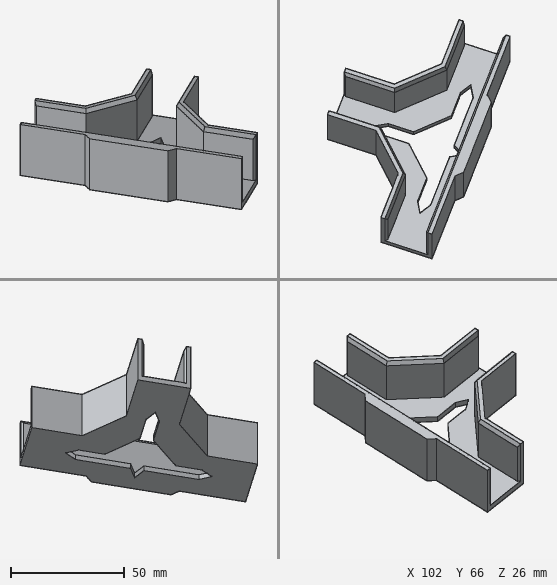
import cadquery as cq
import math

length = 102.0
depth = 66.0
height = 26.0
arm_width = 24.0
floor_thickness = 3.0
wall_thickness = 3.0

corner_reach = 28.3

bevel_width = 1.0
top_bevel_height = 2.0
end_bevel_length = 1.0

slot_width = 6.0
slot_side_reach = 27.8
slot_web_reach = 16.0
slot_tip_angle = 60.0

pad_flat_length = 36.0

arm_reach = length / 2
arm_half = arm_width / 2
slot_half = slot_width / 2
pad_thickness = depth - arm_reach - arm_half
wall_height = height - floor_thickness


def mirrored_outline(right_side):
    """Close a half outline, given from bottom to top, by mirroring it in X."""
    left_side = [(-x, y) for x, y in reversed(right_side) if x != 0]
    return right_side + left_side


def tee_outline(inset):
    """Tee with diagonal corners; its long sides move inward by inset, its ends stay put."""
    half = arm_half - inset
    corner = corner_reach - inset * math.tan(math.radians(22.5))
    return mirrored_outline([
        (arm_reach, -half),
        (arm_reach, half),
        (corner, half),
        (half, corner),
        (half, arm_reach),
    ])


def make_body():
    """Solid tee with the pad on its back wall."""
    body = cq.Workplane("XY").polyline(tee_outline(0)).close().extrude(height)
    pad_half = pad_flat_length / 2
    pad_outline = mirrored_outline([
        (pad_half, -arm_half - pad_thickness),
        (pad_half + pad_thickness, -arm_half),
        (pad_half + pad_thickness, -arm_half + wall_thickness / 2),
    ])
    pad = cq.Workplane("XY").polyline(pad_outline).close().extrude(height)
    return body.union(pad)


def make_channel():
    """Channel space above the floor, widening at the top edges of the walls."""
    channel_outline = tee_outline(wall_thickness)
    mouth_outline = tee_outline(wall_thickness - bevel_width)
    channel = (
        cq.Workplane("XY")
        .workplane(offset=floor_thickness)
        .polyline(channel_outline).close()
        .extrude(wall_height)
    )
    mouth = (
        cq.Workplane("XY")
        .workplane(offset=height - top_bevel_height)
        .polyline(channel_outline).close()
        .workplane(offset=top_bevel_height)
        .polyline(mouth_outline).close()
        .loft(ruled=True)
    )
    return channel.union(mouth)


def make_end_mouth():
    """Widened channel space at the open end of the +X arm."""
    inner_half = arm_half - wall_thickness
    outer_half = inner_half + bevel_width
    return (
        cq.Workplane("XY")
        .workplane(offset=floor_thickness)
        .moveTo(arm_reach - end_bevel_length, -inner_half)
        .lineTo(arm_reach, -outer_half)
        .lineTo(arm_reach, outer_half)
        .lineTo(arm_reach - end_bevel_length, inner_half)
        .close()
        .extrude(wall_height)
    )


def make_floor_opening():
    """Three pointed slots joined by a diagonal web, with a fourth point toward the back wall."""
    tip_length = slot_half * math.tan(math.radians(slot_tip_angle))
    outline = mirrored_outline([
        (0, -slot_half - tip_length),
        (slot_half, -slot_half),
        (slot_side_reach, -slot_half),
        (slot_side_reach + tip_length, 0),
        (slot_side_reach, slot_half),
        (slot_web_reach, slot_half),
        (slot_half, slot_web_reach),
        (slot_half, slot_side_reach),
        (0, slot_side_reach + tip_length),
    ])
    return cq.Workplane("XY").polyline(outline).close().extrude(floor_thickness)


result = make_body().cut(make_channel()).cut(make_floor_opening())
for arm_direction in (0, 90, 180):
    end_mouth = make_end_mouth().rotate((0, 0, 0), (0, 0, 1), arm_direction)
    result = result.cut(end_mouth)